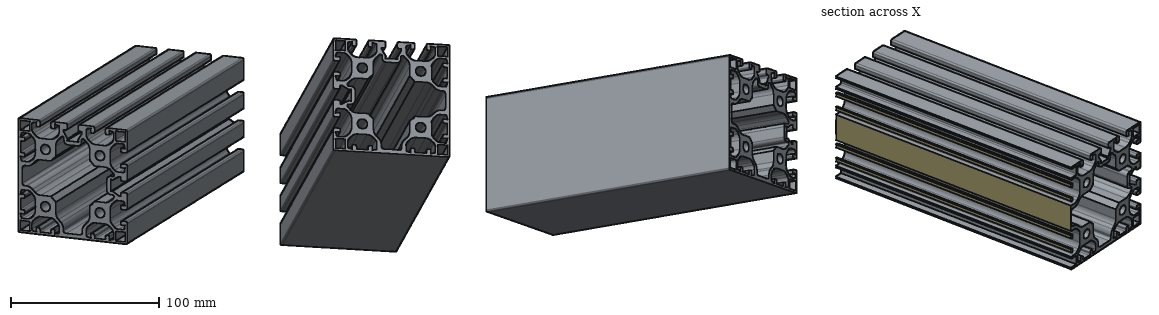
import cadquery as cq
import math

side = 80.0
length = 200.0
half_side = side / 2
edge_radius = 1.2

slot_pitch = 40.0
slot_half_opening = 4.0
slot_half_width = 10.0
slot_depth = 12.5
slot_half_floor = 5.5
slot_floor_radius = 6.0
slot_ceiling = 1.5
slot_ceiling_radius = 1.2
slot_ceiling_drop = 0.8
slot_side_radius = 4.0
slot_side_end = slot_depth - (slot_half_width - slot_half_floor)

lip_depth = 4.8
lip_width = 2.8
lip_radius = 1.2
lip_back_radius = 0.5
skin = 1.8
skin_radius = 0.8

channel_diameter = 6.8
core_half_width = 7.5
core_chamfer = 3.5

groove_half_opening = 4.0
groove_half_width = 6.8
groove_shoulder = 5.8
groove_shoulder_radius = 1.0
groove_half_throat = 3.8
groove_throat_depth = 10.8
groove_half_floor = 4.2
groove_depth = 12.2

web_offset = 1.5
web_radius = 6.0
plate_depth = 15.0
plate_half_width = 6.5
plate_corner_radius = 2.8
crook_radius = 1.2
wall_thickness = 3.0
wall_half_width = 7.0
wall_corner_radius = 2.0
wall_web_radius = 6.0

hollow_wall = 1.5
hollow_size = 6.8
hollow_radius = 0.8

open_faces = (0, 1)
face_count = 4

overshoot = 2.0


def on_face(face, points, shift=0.0):
    """Place (along, depth, radius) corners, measured on one face, in the XZ section."""
    turn = -face * math.pi / 2
    placed = []
    for along, depth, radius in points:
        x = along + shift
        z = half_side - depth
        placed.append((
            x * math.cos(turn) - z * math.sin(turn),
            x * math.sin(turn) + z * math.cos(turn),
            radius,
        ))
    return placed


def mirrored(half):
    """Complete a half outline, given from its right end to its middle."""
    return half + [(-along, depth, radius) for along, depth, radius in reversed(half)]


def rounded_prism(corners):
    """Extrude a closed polygon whose corners each carry their own rounding radius."""
    spans = []
    for i, (x, z, radius) in enumerate(corners):
        corner = cq.Vector(x, z)
        back = (cq.Vector(*corners[i - 1][:2]) - corner).normalized()
        ahead = (cq.Vector(*corners[(i + 1) % len(corners)][:2]) - corner).normalized()
        if radius == 0:
            spans.append((corner, None, corner))
            continue
        half_angle = back.getAngle(ahead) / 2
        reach = radius / math.tan(half_angle)
        middle_reach = radius / math.sin(half_angle) - radius
        middle = corner + (back + ahead).normalized() * middle_reach
        spans.append((corner + back * reach, middle, corner + ahead * reach))

    outline = cq.Workplane("XZ", origin=(0, length / 2, 0)).moveTo(*spans[0][2].toTuple()[:2])
    for start, middle, end in spans[1:] + spans[:1]:
        outline = outline.lineTo(*start.toTuple()[:2])
        if middle is not None:
            outline = outline.threePointArc(middle.toTuple()[:2], end.toTuple()[:2])
    return outline.close().extrude(length)


def slot_corners(is_open):
    """T-slot outline; on a closed face a skin covers its opening."""
    if is_open:
        mouth = [
            (slot_half_opening + overshoot, -overshoot, 0),
            (slot_half_opening + overshoot, 0, 0),
            (slot_half_opening, 0, lip_radius),
        ]
    else:
        mouth = [(slot_half_opening, skin, skin_radius)]
    lip_back = slot_half_opening + lip_width
    half = mouth + [
        (slot_half_opening, lip_depth, lip_radius),
        (lip_back, lip_depth, lip_back_radius),
        (lip_back, slot_ceiling, 0),
        (slot_half_width, slot_ceiling + slot_ceiling_drop, slot_ceiling_radius),
        (slot_half_width, slot_side_end, slot_side_radius),
        (slot_half_floor, slot_depth, slot_floor_radius),
    ]
    return mirrored(half)


def groove_corners():
    """Groove between two slots, narrowing to a throat above the recessed plate."""
    return mirrored([
        (groove_half_opening + overshoot, -overshoot, 0),
        (groove_half_opening + overshoot, 0, 0),
        (groove_half_opening, 0, lip_radius),
        (groove_half_opening, lip_depth, lip_radius),
        (groove_half_width, lip_depth, lip_back_radius),
        (groove_half_width, groove_shoulder, groove_shoulder_radius),
        (groove_half_throat, groove_throat_depth, 0),
        (groove_half_floor, groove_depth, 0),
    ])


def cavity_side(is_open):
    """Part of the cavity outline that faces one side of the section."""
    core_side = slot_pitch / 2 - core_half_width
    core_end = half_side - core_side - core_chamfer
    half = [
        (core_side, core_end, 0),
        (core_side, core_side + web_offset, web_radius),
    ]
    if is_open:
        half += [
            (plate_half_width, plate_half_width + web_offset, crook_radius),
            (plate_half_width, plate_depth, plate_corner_radius),
        ]
    else:
        half += [
            (wall_half_width, wall_half_width + web_offset, wall_web_radius),
            (wall_half_width, wall_thickness, wall_corner_radius),
        ]
    return mirrored(half)


def corner_hollow():
    """Square hollow at the right end of a face, rounded only toward the centre."""
    outer = half_side - hollow_wall
    inner = outer - hollow_size
    near = hollow_wall
    far = hollow_wall + hollow_size
    return [(outer, near, 0), (outer, far, 0), (inner, far, hollow_radius), (inner, near, 0)]


body = cq.Workplane("XY").box(side, length, side).edges("|Y").fillet(edge_radius)

cavity = []
for face in range(face_count):
    is_open = face in open_faces
    cavity = on_face(face, cavity_side(is_open)) + cavity
    for slot_centre in (-slot_pitch / 2, slot_pitch / 2):
        body = body.cut(rounded_prism(on_face(face, slot_corners(is_open), slot_centre)))
    if is_open:
        body = body.cut(rounded_prism(on_face(face, groove_corners())))
    body = body.cut(rounded_prism(on_face(face, corner_hollow())))
body = body.cut(rounded_prism(cavity))

channels = (
    cq.Workplane("XZ", origin=(0, length / 2, 0))
    .rarray(slot_pitch, slot_pitch, 2, 2)
    .circle(channel_diameter / 2)
    .extrude(length)
)
result = body.cut(channels)